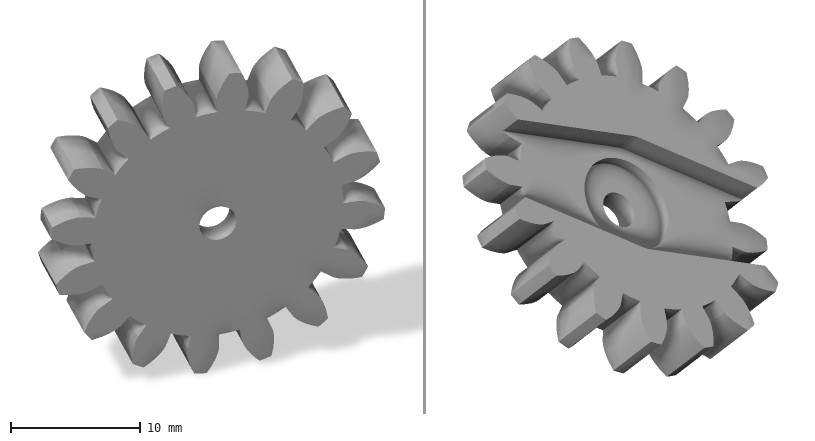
import cadquery as cq
import math

tooth_count = 16
tip_radius = 13.5
face_width = 5.0
dedendum_ratio = 1.25
pressure_angle = math.radians(20)
first_tooth_angle = -6.0
root_overlap = 0.8
flank_points = 8

module = 2 * tip_radius / (tooth_count + 2)
pitch_radius = module * tooth_count / 2
root_radius = pitch_radius - dedendum_ratio * module
base_radius = pitch_radius * math.cos(pressure_angle)

bore_diameter = 3.0
recess_diameter = 8.0
recess_depth = 1.0

slot_depth = 2.0
slot_radius = 5.0
rounding_half_length = 0.22
slot_taper = math.radians(7.7)
end_clearance = 1.35
slot_half_length = tip_radius + end_clearance


def polar(radius, angle):
    return radius * math.cos(angle), radius * math.sin(angle)


def involute(angle):
    return math.tan(angle) - angle


def flank_half_angle(radius):
    """Half of the angle a tooth spans at a radius on or outside the base circle."""
    half_at_base = math.pi / (2 * tooth_count) + involute(pressure_angle)
    return half_at_base - involute(math.acos(base_radius / radius))


def tooth():
    """One tooth on the +Y axis, reaching inside the root circle."""
    inner_radius = root_radius - root_overlap
    base_half_angle = flank_half_angle(base_radius)
    radius_step = (tip_radius - base_radius) / (flank_points - 1)
    radii = [base_radius + i * radius_step for i in range(flank_points - 1)] + [tip_radius]
    lower_flank = [polar(r, -flank_half_angle(r)) for r in radii]
    upper_flank = [polar(r, flank_half_angle(r)) for r in reversed(radii)]
    return (
        cq.Workplane("YZ")
        .moveTo(*polar(inner_radius, -base_half_angle))
        .lineTo(*lower_flank[0])
        .spline(lower_flank[1:], includeCurrent=True)
        .threePointArc((tip_radius, 0), upper_flank[0])
        .spline(upper_flank[1:], includeCurrent=True)
        .lineTo(*polar(inner_radius, base_half_angle))
        .close()
        .extrude(face_width)
    )


def gear_blank():
    blank = cq.Workplane("YZ").circle(root_radius).extrude(face_width)
    first_tooth = tooth()
    for i in range(tooth_count):
        angle = first_tooth_angle + i * 360 / tooth_count
        blank = blank.union(first_tooth.rotate((0, 0, 0), (1, 0, 0), angle))
    return blank


def slot():
    """Slot along the first tooth; each wall is two straight tapers joined by a short arc."""
    arc_end_y = rounding_half_length
    arc_end_z = math.sqrt(slot_radius**2 - arc_end_y**2)
    end_z = arc_end_z - (slot_half_length - arc_end_y) * math.tan(slot_taper)
    return (
        cq.Workplane("YZ")
        .moveTo(slot_half_length, end_z)
        .lineTo(arc_end_y, arc_end_z)
        .threePointArc((0, slot_radius), (-arc_end_y, arc_end_z))
        .lineTo(-slot_half_length, end_z)
        .lineTo(-slot_half_length, -end_z)
        .lineTo(-arc_end_y, -arc_end_z)
        .threePointArc((0, -slot_radius), (arc_end_y, -arc_end_z))
        .lineTo(slot_half_length, -end_z)
        .close()
        .extrude(slot_depth)
        .rotate((0, 0, 0), (1, 0, 0), first_tooth_angle)
    )


recess = cq.Workplane("YZ").circle(recess_diameter / 2).extrude(slot_depth + recess_depth)
bore = cq.Workplane("YZ").circle(bore_diameter / 2).extrude(face_width)

result = gear_blank().cut(slot()).cut(recess).cut(bore)